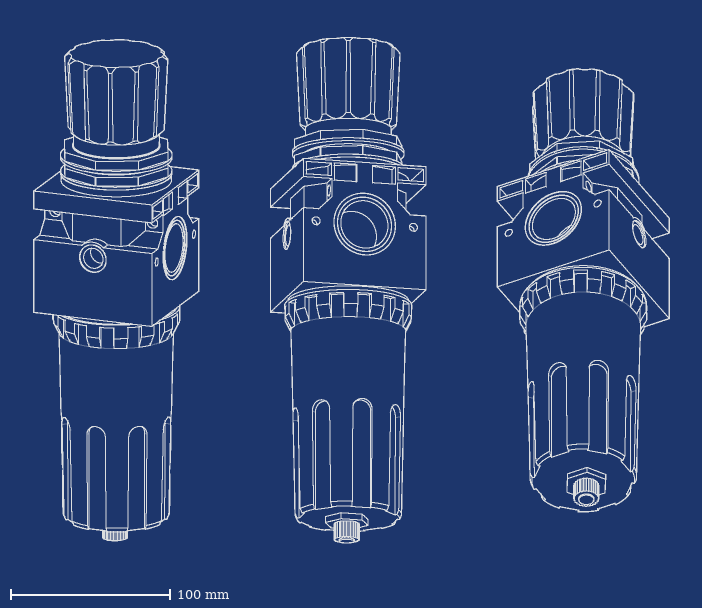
import cadquery as cq
import math

TOTAL_HEIGHT = 320.0
KNOB_CONE_BOTTOM = 268.0
KNOB_BOTTOM = 260.0
NUT_BOTTOM = 251.5
COLLAR_NUT_BOTTOM = 241.0
BODY_TOP = 236.5
PLATE_BOTTOM = 224.5
SHOULDER_Z = 204.5
PORT_Z = 196.5
BODY_BOTTOM = 156.5
RING_TOP = 153.5
RING_CONE_TOP = 144.5
RING_BOTTOM = 137.0
BOWL_BOTTOM = 15.0
DRAIN_HEX_BOTTOM = 11.2

KNOB_TOP_RADIUS = 32.5
KNOB_LOW_RADIUS = 30.5
KNOB_CHAMFER = 3.0
KNOB_SKIRT_DIAMETER = 54.0
SCALLOP_COUNT = 12
SCALLOP_RADIUS = 9.5
SCALLOP_FLOOR_TOP = 28.5
SCALLOP_FLOOR_LOW = 27.2
SCALLOP_OVERRUN = 0.1

THREAD_DIAMETER = 55.0
NUT_DIAMETER = 70.5
COLLAR_DIAMETER = 70.0
OCTAGON_FLATS = 65.0
NUT_HEIGHT = 7.7
NUT_FLANGE_HEIGHT = 2.0
BONNET_BASE_DIAMETER = 69.5

BODY_WIDTH = 80.0
NECK_HALF_DEPTH = 33.3
NECK_HALF_FLAT = 16.3
TOWER_HALF_WIDTH = 21.5
NECK_HALF_WIDTH = NECK_HALF_FLAT + NECK_HALF_DEPTH - TOWER_HALF_WIDTH
TOWER_FLARE = 8.3

PORT_STEPS = [(40.0, 0.48), (35.2, 1.0)]
PORT_DIAMETER = 30.7
PORT_DEPTH = 28.8
GAUGE_STEPS = [(18.0, 1.0)]
GAUGE_DIAMETER = 13.0
GAUGE_DEPTH = 12.8
GAUGE_BOSS_RADIUS = 11.0
SCREW_DIAMETER = 5.0
SCREW_DEPTH = 8.0
SCREW_OFFSET = 31.7
DRILL_TIP_ANGLE = 118.0

CROSS_HOLE_DIAMETER = 7.0
CROSS_HOLE_DEPTH = 4.8
CROSS_HOLE_X = 33.0
CROSS_HOLE_Z = 218.5

CORE_DIAMETER = 76.0
OUTER_POCKET_Y = (21.8, 38.0)
OUTER_POCKET_Z = (226.5, 234.5)
INNER_POCKET_Y = (5.0, 20.0)
INNER_POCKET_Z = (223.7, 235.0)

BOWL_NECK_DIAMETER = 76.0
RING_DIAMETER = 80.0
BOWL_TOP_RADIUS = 36.0
BOWL_LOW_RADIUS = 33.5
BOWL_CHAMFER_HEIGHT = 3.0
BOWL_CHAMFER_WIDTH = 1.3
NOTCH_COUNT = 14
NOTCH_TOP = 151.7
FLUTE_COUNT = 8
FLUTE_WIDTH = 12.5
FLUTE_TOP = 84.5
FLUTE_FLOOR_TOP = 30.7
FLUTE_FLOOR_DROP = 0.48

DRAIN_X = -1.45
DRAIN_Y = 1.45
DRAIN_HEX_FLATS = 24.0
KNURL_RADIUS = 8.0
KNURL_DEPTH = 0.48
KNURL_TEETH = 24
DRAIN_TIP_RADIUS = 4.8
DRAIN_TIP_HEIGHT = 1.0


def cylinder(diameter, bottom, top):
    """Round bar on the main axis."""
    return cq.Workplane("XY").workplane(offset=bottom).circle(diameter / 2).extrude(top - bottom)


def box_between(x_range, y_range, z_range):
    """Box given by its limits along each axis."""
    sizes = [high - low for low, high in (x_range, y_range, z_range)]
    return cq.Workplane("XY").box(*sizes, centered=False).translate((x_range[0], y_range[0], z_range[0]))


def flanged_octagon(diameter, bottom):
    """Octagon with corners on X and Y, trimmed to a circle, on a thin round flange."""
    corner_circle = OCTAGON_FLATS / math.cos(math.pi / 8)
    octagon = cq.Workplane("XY").workplane(offset=bottom).polygon(8, corner_circle).extrude(NUT_HEIGHT)
    trimmed = octagon.intersect(cylinder(diameter, bottom, bottom + NUT_HEIGHT))
    return trimmed.union(cylinder(diameter, bottom, bottom + NUT_FLANGE_HEIGHT))


def blind_hole(x, y, z, direction, diameter, depth, steps=()):
    """Drilled hole with a conical bottom, opened up by (diameter, depth) steps at its mouth."""
    radius = diameter / 2
    tip = radius / math.tan(math.radians(DRILL_TIP_ANGLE / 2))
    start = cq.Vector(x, y, z)
    way = cq.Vector(*direction)
    tool = cq.Workplane(cq.Solid.makeCylinder(radius, depth, start, way))
    tool = tool.union(cq.Workplane(cq.Solid.makeCone(radius, 0, tip, start + way * depth, way)))
    for step_diameter, step_depth in steps:
        tool = tool.union(cq.Workplane(cq.Solid.makeCylinder(step_diameter / 2, step_depth, start, way)))
    return tool


def make_knob():
    """Tapered grip with concave scallops between narrow ribs, above a plain round skirt."""
    skirt_radius = KNOB_SKIRT_DIAMETER / 2
    knob = (
        cq.Workplane("XZ")
        .moveTo(0, KNOB_BOTTOM)
        .lineTo(skirt_radius, KNOB_BOTTOM)
        .lineTo(skirt_radius, KNOB_CONE_BOTTOM)
        .lineTo(KNOB_LOW_RADIUS, KNOB_CONE_BOTTOM + KNOB_CHAMFER)
        .lineTo(KNOB_TOP_RADIUS, TOTAL_HEIGHT - KNOB_CHAMFER)
        .lineTo(KNOB_TOP_RADIUS - KNOB_CHAMFER, TOTAL_HEIGHT)
        .lineTo(0, TOTAL_HEIGHT)
        .close()
        .revolve(360, (0, 0, 0), (0, 1, 0))
    )
    low = cq.Vector(SCALLOP_FLOOR_LOW + SCALLOP_RADIUS, 0, KNOB_CONE_BOTTOM)
    high = cq.Vector(SCALLOP_FLOOR_TOP + SCALLOP_RADIUS, 0, TOTAL_HEIGHT)
    way = high - low
    start = low - way * SCALLOP_OVERRUN
    length = way.Length * (1 + 2 * SCALLOP_OVERRUN)
    cutter = cq.Workplane(cq.Solid.makeCylinder(SCALLOP_RADIUS, length, start, way))
    for i in range(SCALLOP_COUNT):
        knob = knob.cut(cutter.rotate((0, 0, 0), (0, 0, 1), i * 360 / SCALLOP_COUNT))
    return knob


def make_panel_nut():
    """Flanged octagon nut running on the bonnet thread."""
    bore = cylinder(THREAD_DIAMETER, NUT_BOTTOM, NUT_BOTTOM + NUT_HEIGHT)
    return flanged_octagon(NUT_DIAMETER, NUT_BOTTOM).cut(bore)


def make_body_block():
    """Square block and top plate joined by a narrower neck with a port tower on each X side."""
    half = BODY_WIDTH / 2
    full = (-half, half)
    block = box_between(full, full, (BODY_BOTTOM, SHOULDER_Z))
    plate = box_between(full, full, (PLATE_BOTTOM, BODY_TOP))
    neck = (
        cq.Workplane("XY")
        .workplane(offset=SHOULDER_Z)
        .rect(2 * NECK_HALF_WIDTH, 2 * NECK_HALF_DEPTH)
        .extrude(PLATE_BOTTOM - SHOULDER_Z)
        .edges("|Z")
        .chamfer(NECK_HALF_WIDTH - NECK_HALF_FLAT)
    )
    tower = (
        cq.Workplane("YZ")
        .workplane(offset=-half)
        .moveTo(-TOWER_HALF_WIDTH, PLATE_BOTTOM)
        .lineTo(-TOWER_HALF_WIDTH, SHOULDER_Z + TOWER_FLARE)
        .lineTo(-TOWER_HALF_WIDTH - TOWER_FLARE, SHOULDER_Z)
        .lineTo(TOWER_HALF_WIDTH + TOWER_FLARE, SHOULDER_Z)
        .lineTo(TOWER_HALF_WIDTH, SHOULDER_Z + TOWER_FLARE)
        .lineTo(TOWER_HALF_WIDTH, PLATE_BOTTOM)
        .close()
        .extrude(BODY_WIDTH)
    )
    gauge_boss = (
        cq.Workplane("XZ")
        .workplane(offset=-half)
        .center(0, PORT_Z)
        .circle(GAUGE_BOSS_RADIUS)
        .extrude(BODY_WIDTH)
    )
    return block.union(plate).union(neck).union(tower).union(gauge_boss)


def make_bonnet():
    """Round base, flanged octagon and threaded neck that carry the knob."""
    base = cylinder(BONNET_BASE_DIAMETER, BODY_TOP, COLLAR_NUT_BOTTOM)
    thread = cylinder(THREAD_DIAMETER, COLLAR_NUT_BOTTOM, KNOB_BOTTOM)
    return base.union(flanged_octagon(COLLAR_DIAMETER, COLLAR_NUT_BOTTOM)).union(thread)


def plate_pockets(side):
    """Pockets in one X face of the top plate, all ending at the round core."""
    outer_x = side * BODY_WIDTH / 2
    x_range = (min(0, outer_x), max(0, outer_x))
    pockets = cq.Workplane("XY")
    for (near, far), z_range in ((OUTER_POCKET_Y, OUTER_POCKET_Z), (INNER_POCKET_Y, INNER_POCKET_Z)):
        pockets = pockets.add(box_between(x_range, (near, far), z_range))
        pockets = pockets.add(box_between(x_range, (-far, -near), z_range))
    core = cylinder(CORE_DIAMETER, SHOULDER_Z, BODY_TOP)
    return pockets.combine().cut(core)


def make_housing():
    """Body block with the bonnet on top, all ports, screw holes and pockets."""
    housing = make_body_block().union(make_bonnet())
    half = BODY_WIDTH / 2
    for side in (-1, 1):
        inward_x = (-side, 0, 0)
        inward_y = (0, -side, 0)
        housing = housing.cut(
            blind_hole(side * half, 0, PORT_Z, inward_x, PORT_DIAMETER, PORT_DEPTH, PORT_STEPS)
        )
        housing = housing.cut(
            blind_hole(0, side * half, PORT_Z, inward_y, GAUGE_DIAMETER, GAUGE_DEPTH, GAUGE_STEPS)
        )
        housing = housing.cut(plate_pockets(side))
        for end in (-1, 1):
            housing = housing.cut(
                blind_hole(side * half, end * SCREW_OFFSET, PORT_Z, inward_x, SCREW_DIAMETER, SCREW_DEPTH)
            )
            cross_hole = cq.Solid.makeCylinder(
                CROSS_HOLE_DIAMETER / 2,
                CROSS_HOLE_DEPTH,
                cq.Vector(end * CROSS_HOLE_X, side * TOWER_HALF_WIDTH, CROSS_HOLE_Z),
                cq.Vector(*inward_y),
            )
            housing = housing.cut(cq.Workplane(cross_hole))
    return housing


def make_bowl():
    """Tapered bowl guard with a notched bayonet ring at its top and flutes around its lower half."""
    ring_radius = RING_DIAMETER / 2
    bowl = (
        cq.Workplane("XZ")
        .moveTo(0, BOWL_BOTTOM)
        .lineTo(BOWL_LOW_RADIUS - BOWL_CHAMFER_WIDTH, BOWL_BOTTOM)
        .lineTo(BOWL_LOW_RADIUS, BOWL_BOTTOM + BOWL_CHAMFER_HEIGHT)
        .lineTo(BOWL_TOP_RADIUS, RING_BOTTOM)
        .lineTo(ring_radius, RING_CONE_TOP)
        .lineTo(ring_radius, RING_TOP)
        .lineTo(BOWL_NECK_DIAMETER / 2, RING_TOP)
        .lineTo(BOWL_NECK_DIAMETER / 2, BODY_BOTTOM)
        .lineTo(0, BODY_BOTTOM)
        .close()
        .revolve(360, (0, 0, 0), (0, 1, 0))
    )
    for i in range(NOTCH_COUNT):
        bowl = bowl.cut(ring_notch().rotate((0, 0, 0), (0, 0, 1), i * 360 / NOTCH_COUNT))
    for i in range(FLUTE_COUNT):
        bowl = bowl.cut(flute().rotate((0, 0, 0), (0, 0, 1), i * 360 / FLUTE_COUNT))
    return bowl


def ring_notch():
    """Wedge centred on +X, half a notch pitch wide, that cuts the ring down to the bowl radius."""
    half_angle = math.pi / NOTCH_COUNT / 2
    reach = RING_DIAMETER
    wedge = (
        cq.Workplane("XY")
        .workplane(offset=RING_BOTTOM)
        .moveTo(0, 0)
        .lineTo(reach * math.cos(half_angle), -reach * math.sin(half_angle))
        .lineTo(reach * math.cos(half_angle), reach * math.sin(half_angle))
        .close()
        .extrude(NOTCH_TOP - RING_BOTTOM)
    )
    return wedge.cut(cylinder(2 * BOWL_TOP_RADIUS, RING_BOTTOM, NOTCH_TOP))


def flute():
    """Flat-floored slot on the +X side with a round upper end, open at the bottom of the bowl.

    The floor leans inward towards the bottom.
    """
    radius = FLUTE_WIDTH / 2
    lean = math.degrees(math.atan2(FLUTE_FLOOR_DROP, FLUTE_TOP - BOWL_BOTTOM))
    hinge_start = (FLUTE_FLOOR_TOP, 0, FLUTE_TOP)
    hinge_end = (FLUTE_FLOOR_TOP, 1, FLUTE_TOP)
    return (
        cq.Workplane("YZ")
        .workplane(offset=FLUTE_FLOOR_TOP)
        .moveTo(-radius, 0)
        .lineTo(radius, 0)
        .lineTo(radius, FLUTE_TOP - radius)
        .threePointArc((0, FLUTE_TOP), (-radius, FLUTE_TOP - radius))
        .close()
        .extrude(BOWL_TOP_RADIUS)
        .rotate(hinge_start, hinge_end, lean)
    )


def make_drain():
    """Drain screw with a hexagon head and a knurled grip, slightly off the main axis."""
    corner_circle = DRAIN_HEX_FLATS / math.cos(math.pi / 6)
    hexagon = (
        cq.Workplane("XY")
        .workplane(offset=DRAIN_HEX_BOTTOM)
        .polygon(6, corner_circle)
        .extrude(BOWL_BOTTOM - DRAIN_HEX_BOTTOM)
        .rotate((0, 0, 0), (0, 0, 1), 90)
    )
    knurl_points = []
    for i in range(2 * KNURL_TEETH):
        radius = KNURL_RADIUS - KNURL_DEPTH * (i % 2)
        angle = math.pi * i / KNURL_TEETH
        knurl_points.append((radius * math.cos(angle), radius * math.sin(angle)))
    grip = (
        cq.Workplane("XY")
        .workplane(offset=DRAIN_TIP_HEIGHT)
        .polyline(knurl_points)
        .close()
        .extrude(DRAIN_HEX_BOTTOM - DRAIN_TIP_HEIGHT)
    )
    tip = cylinder(2 * DRAIN_TIP_RADIUS, 0, DRAIN_TIP_HEIGHT)
    return hexagon.union(grip).union(tip).translate((DRAIN_X, DRAIN_Y, 0))


knob = make_knob()
panel_nut = make_panel_nut()
housing = make_housing()
bowl = make_bowl()
drain = make_drain()

result = cq.Compound.makeCompound(
    [knob.val(), panel_nut.val(), housing.val(), bowl.val(), drain.val()]
)